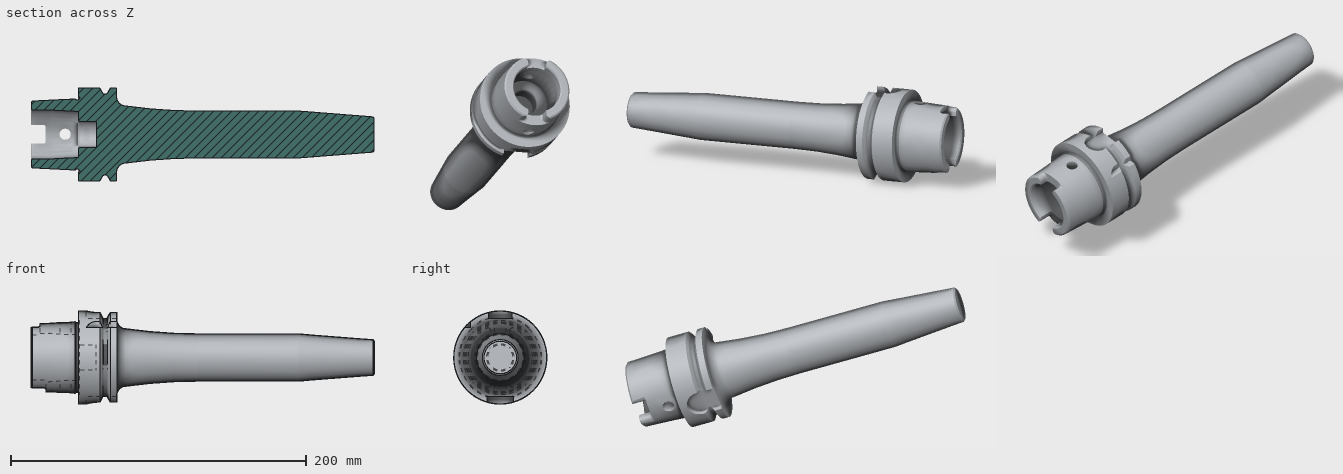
import cadquery as cq
import math


SHANK_LENGTH = 32.0
TAPER_RATIO = 1 / 20
SHANK_BASE_RADIUS = 24.3
SHANK_END_CHAMFER = 1.0

UNDERCUT_LENGTH = 2.2
UNDERCUT_RAMP = 0.7
UNDERCUT_RADIUS = 23.6
UNDERCUT_CORNER_RADIUS = 1.5
FACE_RECESS_DEPTH = 0.8

FLANGE_RADIUS = 31.5
FLANGE_LENGTH = 26.0
GROOVE_CENTER = 18.0
GROOVE_WIDTH = 7.0
GROOVE_FLOOR_RADIUS = 27.5
GROOVE_FLANK_ANGLE = 30.0
GROOVE_FILLET = 1.0

NECK_FILLET = 6.0
NECK_END = 81.0
NECK_CURVE_RADIUS = 350.0
BODY_RADIUS = 16.0
NOSE_START = 149.0
NOSE_END = 200.0
NOSE_RADIUS = 12.0
NOSE_CHAMFER = 1.0

BORE_RADIUS = 16.4
BORE_MOUTH_CHAMFER = 0.8
MOUTH_DEPTH = 12.5
BORE_BOTTOM_RADIUS = 15.4
BORE_BOTTOM = 0.0
PIPE_HOLE_RADIUS = 8.5
PIPE_HOLE_CHAMFER = 0.8
PIPE_HOLE_DEPTH = 12.0

CROSS_HOLE_RADIUS = 3.75
CROSS_HOLE_CHAMFER = 0.6
CROSS_HOLE_X = -8.8

DRIVE_SLOT_WIDTH = 12.54
UPPER_SLOT_DEPTH = 6.0
LOWER_SLOT_DEPTH = 10.0
SLOT_ROUND_START = 17.5
SLOT_ROUND_RADIUS = 3.0
SLOT_CORNER_FILLET = 1.5

UPPER_KEYWAY_WIDTH = 16.0
LOWER_KEYWAY_WIDTH = 18.0
KEYWAY_START = 5.0
KEYWAY_FLOOR = 26.5
NOTCH_WIDTH = 16.0
NOTCH_START = 4.5
NOTCH_WALL = 20.0
NOTCH_FLOOR = 20.2

CLEARANCE = 5.0


def shank_radius(x):
    return SHANK_BASE_RADIUS + TAPER_RATIO * x


def turned_over(solid):
    return solid.rotate((0, 0, 0), (1, 0, 0), 180)


def revolve_about_x(profile):
    solid = profile.close().revolve(360, (0, 0, 0), (1, 0, 0))
    return turned_over(solid)


def holder_body():
    chamfer_end = -SHANK_LENGTH + SHANK_END_CHAMFER
    corner_start = FACE_RECESS_DEPTH - UNDERCUT_CORNER_RADIUS
    corner_middle = UNDERCUT_CORNER_RADIUS * math.sqrt(0.5)
    recess_radius = UNDERCUT_RADIUS + UNDERCUT_CORNER_RADIUS
    neck_start = FLANGE_LENGTH + NECK_FILLET
    fillet_middle = NECK_FILLET * math.sqrt(0.5)
    curve_middle = (neck_start + NECK_END) / 2
    curve_center = BODY_RADIUS + NECK_CURVE_RADIUS

    def neck_curve(x):
        return curve_center - math.sqrt(NECK_CURVE_RADIUS**2 - (NECK_END - x) ** 2)

    neck_radius = neck_curve(neck_start)
    fillet_center = neck_radius + NECK_FILLET
    nose_slope = (BODY_RADIUS - NOSE_RADIUS) / (NOSE_END - NOSE_START)
    profile = (
        cq.Workplane("XY")
        .moveTo(-SHANK_LENGTH, 0)
        .lineTo(-SHANK_LENGTH, shank_radius(-SHANK_LENGTH) - SHANK_END_CHAMFER)
        .lineTo(chamfer_end, shank_radius(chamfer_end))
        .lineTo(-UNDERCUT_LENGTH, shank_radius(-UNDERCUT_LENGTH))
        .lineTo(-UNDERCUT_LENGTH + UNDERCUT_RAMP, UNDERCUT_RADIUS)
        .lineTo(corner_start, UNDERCUT_RADIUS)
        .threePointArc(
            (corner_start + corner_middle, recess_radius - corner_middle),
            (FACE_RECESS_DEPTH, recess_radius),
        )
        .lineTo(0, recess_radius)
        .lineTo(0, FLANGE_RADIUS)
        .lineTo(FLANGE_LENGTH, FLANGE_RADIUS)
        .lineTo(FLANGE_LENGTH, fillet_center)
        .threePointArc(
            (neck_start - fillet_middle, fillet_center - fillet_middle),
            (neck_start, neck_radius),
        )
        .threePointArc((curve_middle, neck_curve(curve_middle)), (NECK_END, BODY_RADIUS))
        .lineTo(NOSE_START, BODY_RADIUS)
        .lineTo(NOSE_END - NOSE_CHAMFER, NOSE_RADIUS + nose_slope * NOSE_CHAMFER)
        .lineTo(NOSE_END, NOSE_RADIUS - NOSE_CHAMFER)
        .lineTo(NOSE_END, 0)
    )
    return revolve_about_x(profile)


def gripper_groove():
    half_opening = GROOVE_WIDTH / 2
    flank = math.radians(GROOVE_FLANK_ANGLE)
    half_floor = half_opening - (FLANGE_RADIUS - GROOVE_FLOOR_RADIUS) * math.tan(flank)
    tangent = GROOVE_FILLET * math.tan((math.pi / 2 - flank) / 2)
    flat = half_floor - tangent
    arc_center_radius = GROOVE_FLOOR_RADIUS + GROOVE_FILLET
    end_x = half_floor + tangent * math.sin(flank)
    end_radius = GROOVE_FLOOR_RADIUS + tangent * math.cos(flank)
    middle_angle = (math.pi / 2 - flank) / 2
    middle_x = flat + GROOVE_FILLET * math.sin(middle_angle)
    middle_radius = arc_center_radius - GROOVE_FILLET * math.cos(middle_angle)
    profile = (
        cq.Workplane("XY")
        .moveTo(GROOVE_CENTER - half_opening, FLANGE_RADIUS)
        .lineTo(GROOVE_CENTER - end_x, end_radius)
        .threePointArc(
            (GROOVE_CENTER - middle_x, middle_radius),
            (GROOVE_CENTER - flat, GROOVE_FLOOR_RADIUS),
        )
        .lineTo(GROOVE_CENTER + flat, GROOVE_FLOOR_RADIUS)
        .threePointArc(
            (GROOVE_CENTER + middle_x, middle_radius),
            (GROOVE_CENTER + end_x, end_radius),
        )
        .lineTo(GROOVE_CENTER + half_opening, FLANGE_RADIUS)
        .lineTo(GROOVE_CENTER + half_opening, FLANGE_RADIUS + CLEARANCE)
        .lineTo(GROOVE_CENTER - half_opening, FLANGE_RADIUS + CLEARANCE)
    )
    return revolve_about_x(profile)


def bore():
    profile = (
        cq.Workplane("XY")
        .moveTo(-SHANK_LENGTH, 0)
        .lineTo(-SHANK_LENGTH, BORE_RADIUS + BORE_MOUTH_CHAMFER)
        .lineTo(-SHANK_LENGTH + BORE_MOUTH_CHAMFER, BORE_RADIUS)
        .lineTo(-SHANK_LENGTH + MOUTH_DEPTH, BORE_RADIUS)
        .lineTo(BORE_BOTTOM, BORE_BOTTOM_RADIUS)
        .lineTo(BORE_BOTTOM, PIPE_HOLE_RADIUS + PIPE_HOLE_CHAMFER)
        .lineTo(BORE_BOTTOM + PIPE_HOLE_CHAMFER, PIPE_HOLE_RADIUS)
        .lineTo(BORE_BOTTOM + PIPE_HOLE_DEPTH, PIPE_HOLE_RADIUS)
        .lineTo(BORE_BOTTOM + PIPE_HOLE_DEPTH, 0)
    )
    return revolve_about_x(profile)


def cross_hole():
    """Hole through the +Z wall of the shank, countersunk at the outer surface."""
    mouth_height = shank_radius(CROSS_HOLE_X)
    profile = (
        cq.Workplane("XZ")
        .lineTo(CROSS_HOLE_RADIUS, 0)
        .lineTo(CROSS_HOLE_RADIUS, mouth_height - CROSS_HOLE_CHAMFER)
        .lineTo(CROSS_HOLE_RADIUS + CROSS_HOLE_CHAMFER, mouth_height)
        .lineTo(CROSS_HOLE_RADIUS + CROSS_HOLE_CHAMFER, mouth_height + CLEARANCE)
        .lineTo(0, mouth_height + CLEARANCE)
        .close()
    )
    hole = profile.revolve(360, (0, 0, 0), (0, 1, 0))
    return hole.translate((CROSS_HOLE_X, 0, 0))


def drive_slot(depth):
    """Slot in the +Z wall of the shank whose outer edges are rounded outward."""
    half = DRIVE_SLOT_WIDTH / 2
    outer_half = half + SLOT_ROUND_RADIUS
    round_middle = SLOT_ROUND_RADIUS * (1 - math.sqrt(0.5))
    round_rise = SLOT_ROUND_RADIUS * math.sqrt(0.5)
    round_end = SLOT_ROUND_START + SLOT_ROUND_RADIUS
    top = round_end + CLEARANCE
    cutter = (
        cq.Workplane("YZ", origin=(-SHANK_LENGTH - CLEARANCE, 0, 0))
        .moveTo(-half, 0)
        .lineTo(half, 0)
        .lineTo(half, SLOT_ROUND_START)
        .threePointArc(
            (half + round_middle, SLOT_ROUND_START + round_rise),
            (outer_half, round_end),
        )
        .lineTo(outer_half + CLEARANCE, round_end)
        .lineTo(outer_half + CLEARANCE, top)
        .lineTo(-outer_half - CLEARANCE, top)
        .lineTo(-outer_half - CLEARANCE, round_end)
        .lineTo(-outer_half, round_end)
        .threePointArc(
            (-half - round_middle, SLOT_ROUND_START + round_rise),
            (-half, SLOT_ROUND_START),
        )
        .close()
        .extrude(depth + CLEARANCE)
    )
    wall_edges = cutter.faces(">X").edges("not(<Z or >Z or <Y or >Y)")
    return wall_edges.fillet(SLOT_CORNER_FILLET)


def round_ended_pocket(width, start, floor, center):
    """Pocket open toward +Z and toward the neck, with a round end facing the shank."""
    half = width / 2
    arc_center = start + half
    return (
        cq.Workplane("XY", origin=(0, 0, floor))
        .moveTo(arc_center, center + half)
        .threePointArc((start, center), (arc_center, center - half))
        .lineTo(FLANGE_LENGTH, center - half)
        .lineTo(FLANGE_LENGTH, center + half)
        .close()
        .extrude(FLANGE_RADIUS)
    )


def keyway(width):
    return round_ended_pocket(width, KEYWAY_START, KEYWAY_FLOOR, 0)


def side_notch():
    """Pocket in the -Y, +Z corner of the flange; its wall faces -Y and its floor faces +Z."""
    center = -NOTCH_WALL - NOTCH_WIDTH / 2
    return round_ended_pocket(NOTCH_WIDTH, NOTCH_START, NOTCH_FLOOR, center)


result = (
    holder_body()
    .cut(gripper_groove())
    .cut(bore())
    .cut(cross_hole())
    .cut(turned_over(cross_hole()))
    .cut(drive_slot(UPPER_SLOT_DEPTH))
    .cut(turned_over(drive_slot(LOWER_SLOT_DEPTH)))
    .cut(keyway(UPPER_KEYWAY_WIDTH))
    .cut(turned_over(keyway(LOWER_KEYWAY_WIDTH)))
    .cut(side_notch())
)